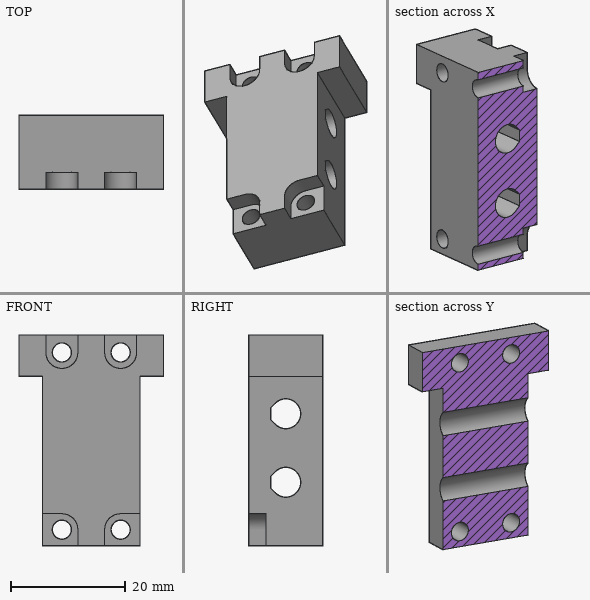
import cadquery as cq
import math

depth = 13.0
height = 36.99
head_width = 25.4
head_height = 7.3
body_width = 17.1

screw_diameter = 3.3
screw_spacing_x = 10.3
screw_spacing_z = 31.05
screw_top_inset = 3.1
recess_radius = 2.8
recess_depth = 3.0

bore_radius = 2.6
bore_axis_y = depth / 2
lower_bore_z = 11.15
bore_spacing_z = 12.0

upper_screw_z = height - screw_top_inset
lower_screw_z = upper_screw_z - screw_spacing_z


def front_box(x_min, x_max, z_min, z_max, length):
    """Box that starts at the front face and runs back by length."""
    size_x = x_max - x_min
    size_z = z_max - z_min
    return cq.Workplane("XY").box(size_x, length, size_z, centered=False).translate((x_min, 0, z_min))


def front_cylinder(x, z, radius, length):
    """Cylinder along Y that starts at the front face and runs back by length."""
    return cq.Workplane("XZ").center(x, z).circle(radius).extrude(-length)


def make_block():
    """T-shaped block: narrow body with a wider head on top."""
    body = front_box(-body_width / 2, body_width / 2, 0, height, depth)
    head = front_box(-head_width / 2, head_width / 2, height - head_height, height, depth)
    return body.union(head)


def upper_recess(x):
    """Round-bottomed slot that opens through the top face."""
    slot = front_box(x - recess_radius, x + recess_radius, upper_screw_z, height, recess_depth)
    return slot.union(front_cylinder(x, upper_screw_z, recess_radius, recess_depth))


def lower_recess(side):
    """Corner notch, open to the side and bottom, with one rounded inner corner (side is -1 or 1)."""
    x = side * screw_spacing_x / 2
    outer_x = side * body_width / 2
    inner_x = x - side * recess_radius
    top_z = lower_screw_z + recess_radius
    arc_reach = recess_radius * math.sqrt(0.5)
    return (
        cq.Workplane("XZ")
        .moveTo(outer_x, 0)
        .lineTo(outer_x, top_z)
        .lineTo(x, top_z)
        .threePointArc((x - side * arc_reach, lower_screw_z + arc_reach), (inner_x, lower_screw_z))
        .lineTo(inner_x, 0)
        .close()
        .extrude(-recess_depth)
    )


def cross_bore(z):
    """Flattened teardrop bore through the full width of the body."""
    tangent_reach = bore_radius * math.sqrt(0.5)
    flat_half = bore_radius * (math.sqrt(2) - 1)
    return (
        cq.Workplane("YZ", origin=(-body_width / 2, bore_axis_y, z))
        .moveTo(-tangent_reach, tangent_reach)
        .threePointArc((bore_radius, 0), (-tangent_reach, -tangent_reach))
        .lineTo(-bore_radius, -flat_half)
        .lineTo(-bore_radius, flat_half)
        .close()
        .extrude(body_width)
    )


result = make_block()
for side in (-1, 1):
    screw_x = side * screw_spacing_x / 2
    result = result.cut(upper_recess(screw_x)).cut(lower_recess(side))
    for screw_z in (lower_screw_z, upper_screw_z):
        result = result.cut(front_cylinder(screw_x, screw_z, screw_diameter / 2, depth))
for bore_z in (lower_bore_z, lower_bore_z + bore_spacing_z):
    result = result.cut(cross_bore(bore_z))